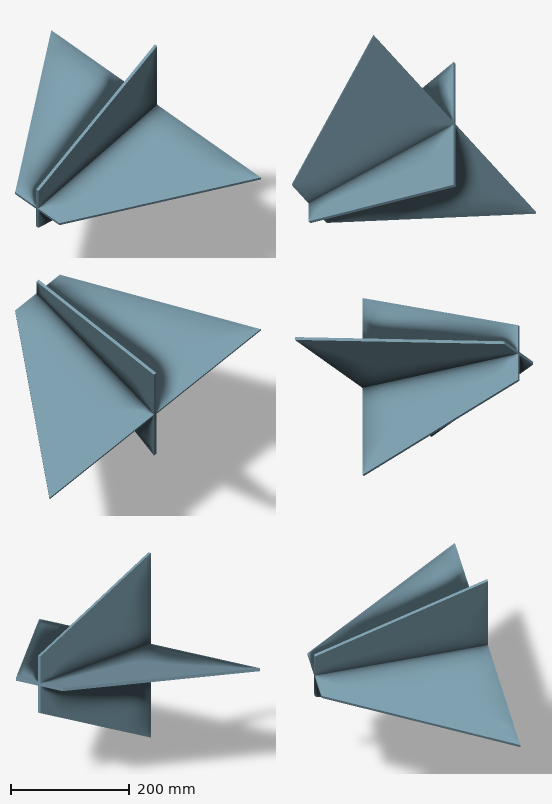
import cadquery as cq

span_x = 475.0
span_z = 325.0
length = 300.0
narrow_edge = 100.0
thickness = 5.0


def tapered_plate(wide_edge):
    """Horizontal plate centred on the Y axis, widening toward +Y."""
    outline = [
        (-narrow_edge / 2, -length / 2),
        (narrow_edge / 2, -length / 2),
        (wide_edge / 2, length / 2),
        (-wide_edge / 2, length / 2),
    ]
    return cq.Workplane("XY").polyline(outline).close().extrude(thickness / 2, both=True)


horizontal_plate = tapered_plate(span_x)
vertical_plate = tapered_plate(span_z).rotate((0, 0, 0), (0, 1, 0), 90)

result = horizontal_plate.union(vertical_plate)